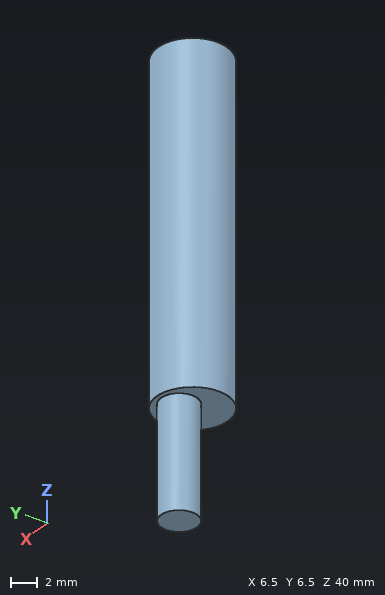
import cadquery as cq

total_length = 40.0
cable_length = 10.0
body_diameter = 6.5
cable_diameter = 3.3
cable_offset_y = 1.2
top_edge_radius = 0.3

body_length = total_length - cable_length

body = (
    cq.Workplane("XY")
    .circle(body_diameter / 2)
    .extrude(body_length)
    .faces(">Z")
    .edges()
    .fillet(top_edge_radius)
)

cable = (
    cq.Workplane("XY")
    .center(0, cable_offset_y)
    .circle(cable_diameter / 2)
    .extrude(-cable_length)
)

result = body.union(cable)